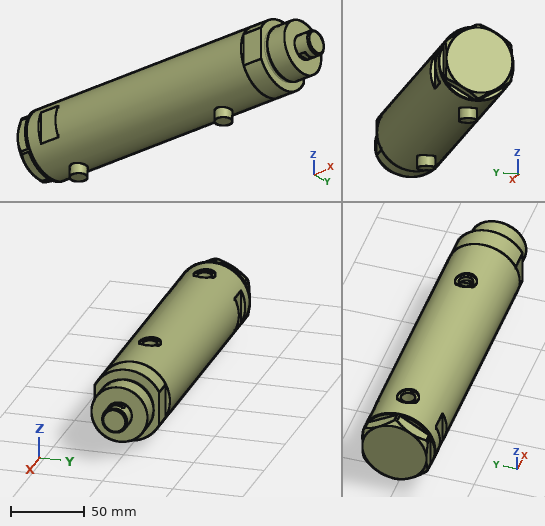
import cadquery as cq
import math


body_radius = 26.0
bore_radius = 16.0
counterbore_radius = 21.5
across_flats = 46.0
total_length = 244.4

hex_end = 9.0
hex_face_radius = across_flats / 2
hex_chamfer = body_radius - hex_face_radius
flange_end = hex_end + 1.5
plug_end = 40.0

barrel_end = 199.0
barrel_flat_start = 20.8
barrel_flat_length = 15.0

port_positions = (30.5, 159.8)
port_diameter = 10.0
spotface_diameter = 15.0
spotface_height = 24.5

stub_positions = (35.0, 162.4)
stub_diameter = 12.4
stub_bottom = -33.4

spigot_start = 162.0
shoulder_end = barrel_end + 15.4
neck_end = 216.6
neck_radius = 18.7
neck_fillet = 0.7
nose_radius = 20.0
nose_chamfer = 0.7
nose_end = 232.3

rod_inner_radius = 12.5
rod_radius = 8.9
rod_across_flats = 15.0
rod_flat_length = 5.7
rod_chamfer = 1.0


def turned(profile):
    """Solid of revolution about the X axis from (x, radius) points."""
    return cq.Workplane("XZ").polyline(profile).close().revolve(360, (0, 0, 0), (1, 0, 0))


def cylinder_along_z(x, radius, bottom, top):
    """Upright cylinder centred on y = 0."""
    return cq.Workplane("XY", origin=(x, 0, bottom)).circle(radius).extrude(top - bottom)


def cut_flats(body, start, length, width, angle):
    """Mill two opposite flats, facing Y and then turned by `angle` degrees about X."""
    block_size = 2 * body_radius
    block_offset = (width + block_size) / 2
    for side in (-1, 1):
        block = cq.Workplane("XY").box(length, block_size, block_size)
        block = block.translate((start + length / 2, side * block_offset, 0))
        body = body.cut(block.rotate((0, 0, 0), (1, 0, 0), angle))
    return body


def make_cap():
    cap = turned([
        (0, 0),
        (0, hex_face_radius),
        (hex_chamfer, body_radius),
        (flange_end, body_radius),
        (flange_end, bore_radius),
        (plug_end, bore_radius),
        (plug_end, 0),
    ])
    for angle in (0, 60, 120):
        cap = cut_flats(cap, 0, hex_end, across_flats, angle)
    return cap


def make_barrel():
    barrel = turned([
        (flange_end, 0),
        (flange_end, body_radius),
        (barrel_end, body_radius),
        (barrel_end, 0),
    ])
    barrel = cut_flats(barrel, barrel_flat_start, barrel_flat_length, across_flats, 0)
    for x in stub_positions:
        barrel = barrel.union(cylinder_along_z(x, stub_diameter / 2, stub_bottom, 0))
    for x in port_positions:
        barrel = barrel.cut(cylinder_along_z(x, port_diameter / 2, 0, body_radius))
        barrel = barrel.cut(cylinder_along_z(x, spotface_diameter / 2, spotface_height, body_radius))
    bore = turned([
        (flange_end, 0),
        (flange_end, bore_radius),
        (spigot_start, bore_radius),
        (spigot_start, counterbore_radius),
        (barrel_end, counterbore_radius),
        (barrel_end, 0),
    ])
    return barrel.cut(bore)


def make_head():
    corner_mid = neck_fillet * (1 - math.sqrt(0.5))
    profile = (
        cq.Workplane("XZ")
        .moveTo(spigot_start, rod_radius)
        .lineTo(spigot_start, counterbore_radius)
        .lineTo(barrel_end, counterbore_radius)
        .lineTo(barrel_end, body_radius)
        .lineTo(shoulder_end, body_radius)
        .lineTo(shoulder_end, neck_radius + neck_fillet)
        .threePointArc(
            (shoulder_end + corner_mid, neck_radius + corner_mid),
            (shoulder_end + neck_fillet, neck_radius),
        )
        .lineTo(neck_end, neck_radius)
        .lineTo(neck_end, nose_radius - nose_chamfer)
        .lineTo(neck_end + nose_chamfer, nose_radius)
        .lineTo(nose_end, nose_radius)
        .lineTo(nose_end, rod_radius)
        .close()
    )
    head = profile.revolve(360, (0, 0, 0), (1, 0, 0))
    return cut_flats(head, barrel_end, shoulder_end - barrel_end, across_flats, 0)


def make_rod():
    rod = turned([
        (plug_end, 0),
        (plug_end, rod_inner_radius),
        (spigot_start, rod_inner_radius),
        (spigot_start, rod_radius),
        (total_length - rod_chamfer, rod_radius),
        (total_length, rod_radius - rod_chamfer),
        (total_length, 0),
    ])
    return cut_flats(rod, nose_end, rod_flat_length, rod_across_flats, 90)


cap = make_cap()
barrel = make_barrel()
head = make_head()
rod = make_rod()
result = cq.Compound.makeCompound([cap.val(), barrel.val(), head.val(), rod.val()])